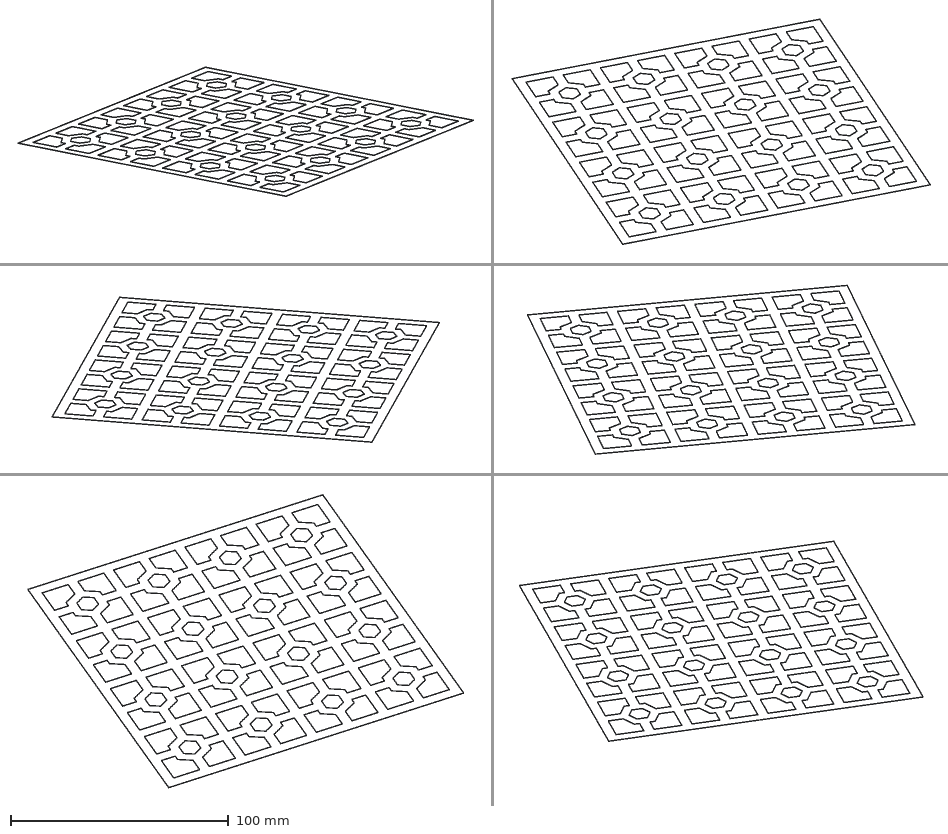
import cadquery as cq

side = 150.0
thickness = 0.2
bar_width = 5.0
cells_per_side = 4
ring_outer_corners = 20.0
ring_hole_corners = 10.0

cell_pitch = (side - bar_width) / cells_per_side
window_pitch = cell_pitch / 2
window_side = window_pitch - bar_width
windows_per_side = 2 * cells_per_side


def grid(pitch, count):
    """Workplane on the base with a centred square array of points."""
    return cq.Workplane("XY").rarray(pitch, pitch, count, count)


def square_windows():
    """Square openings between the bars."""
    return grid(window_pitch, windows_per_side).rect(window_side, window_side).extrude(thickness)


def hexagons(corner_to_corner):
    """One hexagonal prism at the centre of each cell, with corners on the X axis."""
    return grid(cell_pitch, cells_per_side).polygon(6, corner_to_corner).extrude(thickness)


plate = cq.Workplane("XY").rect(side, side).extrude(thickness)
lattice = plate.cut(square_windows())
rings = hexagons(ring_outer_corners)
ring_holes = hexagons(ring_hole_corners)

result = lattice.union(rings).cut(ring_holes).clean()